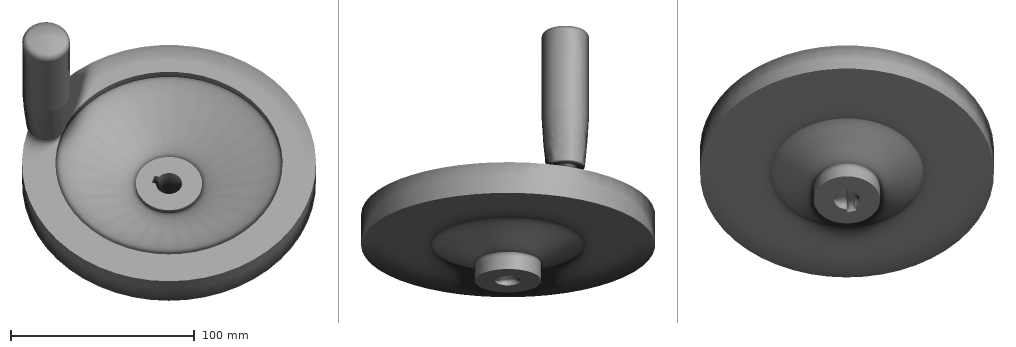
import cadquery as cq
import math

overall_length = 164.0
overall_height = 121.5

wheel_radius = 80.0
rim_bottom = 20.8
rim_top = 38.7
recess_radius = 61.8
recess_wall_depth = 4.6
hub_radius = 18.0
hub_top = 20.0
hub_step = 2.8
lower_cone_start = 10.0
lower_cone_radius = 41.8

bore_radius = 7.0
keyway_width = 5.0
keyway_reach = 9.2

grip_radius = 13.0
grip_base_radius = 10.7
grip_bottom = 41.7
grip_base_round = 0.8
taper_top = 71.3
taper_bulge = 0.25
shoulder_start = 116.5
dome_radius = 9.8
dome_rise = 1.1
shank_radius = 6.5
shank_embed = 5.0
handle_x = wheel_radius + grip_radius - overall_length


def make_wheel():
    """Revolve the rim, dished web and hub about Z."""
    profile = (
        cq.Workplane("XZ")
        .moveTo(0, 0)
        .lineTo(hub_radius, 0)
        .lineTo(hub_radius, lower_cone_start)
        .lineTo(lower_cone_radius, rim_bottom)
        .lineTo(wheel_radius, rim_bottom)
        .lineTo(wheel_radius, rim_top)
        .lineTo(recess_radius, rim_top)
        .lineTo(recess_radius, rim_top - recess_wall_depth)
        .lineTo(hub_radius, hub_top - hub_step)
        .lineTo(hub_radius, hub_top)
        .lineTo(0, hub_top)
        .close()
    )
    return profile.revolve(360, (0, 0, 0), (0, 1, 0))


def make_bore():
    """Through bore with a keyway facing the handle."""
    bore = cq.Workplane("XY").circle(bore_radius).extrude(hub_top)
    keyway = cq.Workplane("XY").box(
        keyway_reach, keyway_width, hub_top, centered=(False, True, False)
    )
    return bore.union(keyway.translate((-keyway_reach, 0, 0)))


def make_handle():
    """Revolve the shank and the grip about the handle axis."""
    dome_edge = overall_height - dome_rise
    taper_start = grip_bottom + grip_base_round
    taper_middle = (
        (grip_base_radius + grip_radius) / 2 + taper_bulge,
        (taper_start + taper_top) / 2,
    )
    diagonal = math.sqrt(0.5)
    shoulder_middle = (
        dome_radius + (grip_radius - dome_radius) * diagonal,
        shoulder_start + (dome_edge - shoulder_start) * diagonal,
    )
    dome_sphere_radius = (dome_radius**2 + dome_rise**2) / (2 * dome_rise)
    half_dome = dome_radius / 2
    half_dome_drop = dome_sphere_radius - math.sqrt(dome_sphere_radius**2 - half_dome**2)
    profile = (
        cq.Workplane("XZ")
        .moveTo(0, rim_top - shank_embed)
        .lineTo(shank_radius, rim_top - shank_embed)
        .lineTo(shank_radius, grip_bottom)
        .lineTo(grip_base_radius - grip_base_round, grip_bottom)
        .radiusArc((grip_base_radius, taper_start), -grip_base_round)
        .threePointArc(taper_middle, (grip_radius, taper_top))
        .lineTo(grip_radius, shoulder_start)
        .threePointArc(shoulder_middle, (dome_radius, dome_edge))
        .threePointArc((half_dome, overall_height - half_dome_drop), (0, overall_height))
        .close()
    )
    return profile.revolve(360, (0, 0, 0), (0, 1, 0)).translate((handle_x, 0, 0))


result = make_wheel().cut(make_bore()).union(make_handle())